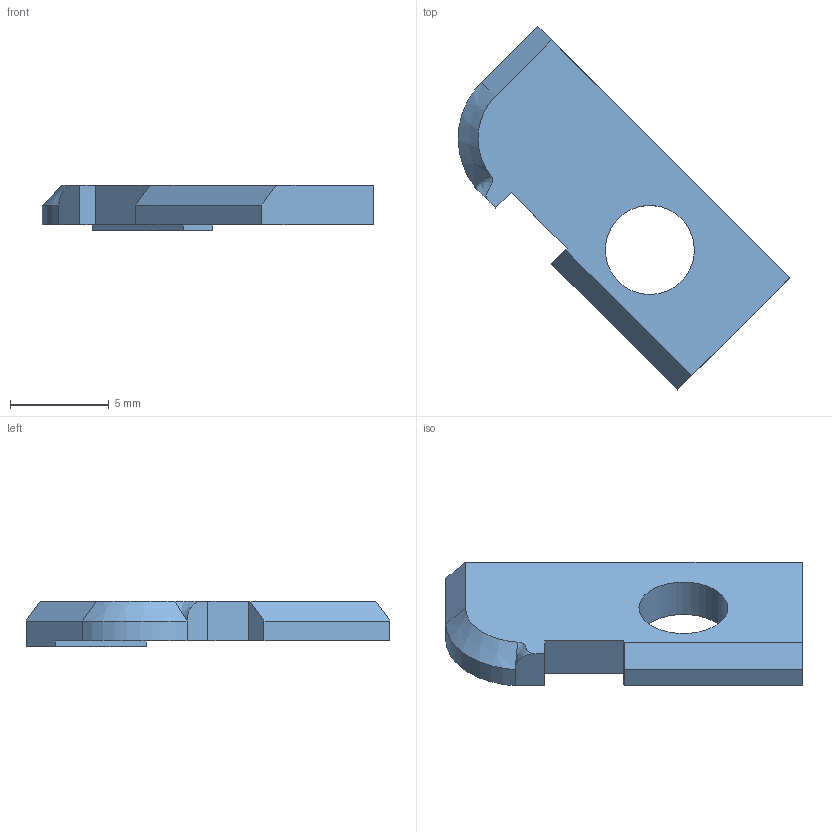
import cadquery as cq
import math


LEFT_END = -12.0
RIGHT_END = 6.0
HALF_WIDTH = 4.0
THICKNESS = 2.0
HOLE_DIAMETER = 4.5
TURN_ANGLE = -45.0

ROUND_RADIUS = 4.0
TOOTH_LEFT = -8.5

NOTCH_LEFT = -7.0
NOTCH_RIGHT = -3.0
NOTCH_DEPTH = 1.1

BEVEL = 1.0

RUNOUT_MID_X = 0.56
RUNOUT_MID_Y = 0.47

PAD_LENGTH = 6.5
PAD_WIDTH = 2.1
PAD_HEIGHT = 0.3

BEVEL_BASE = THICKNESS - BEVEL

ROUND_CENTRE_X = LEFT_END + ROUND_RADIUS
ROUND_DROP = math.sqrt(ROUND_RADIUS**2 - (ROUND_CENTRE_X - TOOTH_LEFT)**2)
ROUND_START_Y = ROUND_DROP - HALF_WIDTH
ROUND_SWEEP = math.degrees(math.atan2(ROUND_DROP, ROUND_CENTRE_X - TOOTH_LEFT))


def make_plate():
    """Flat plate with the rounded corner, the notch and the through hole."""
    half_sweep = math.radians(ROUND_SWEEP / 2)
    round_middle = (
        ROUND_CENTRE_X - ROUND_RADIUS * math.cos(half_sweep),
        ROUND_START_Y - ROUND_RADIUS * math.sin(half_sweep),
    )
    notch_floor = NOTCH_DEPTH - HALF_WIDTH
    outline = (
        cq.Workplane("XY")
        .moveTo(LEFT_END, HALF_WIDTH)
        .lineTo(LEFT_END, ROUND_START_Y)
        .threePointArc(round_middle, (TOOTH_LEFT, -HALF_WIDTH))
        .lineTo(NOTCH_LEFT, -HALF_WIDTH)
        .lineTo(NOTCH_LEFT, notch_floor)
        .lineTo(NOTCH_RIGHT, notch_floor)
        .lineTo(NOTCH_RIGHT, -HALF_WIDTH)
        .lineTo(RIGHT_END, -HALF_WIDTH)
        .lineTo(RIGHT_END, HALF_WIDTH)
        .close()
    )
    hole = cq.Workplane("XY").circle(HOLE_DIAMETER / 2).extrude(THICKNESS)
    return outline.extrude(THICKNESS).cut(hole)


def bevel_triangle(plane, edge):
    """Triangular bevel section on a plane whose second axis is Z."""
    return cq.Workplane(plane).polyline(
        [(edge, BEVEL_BASE), (edge, THICKNESS), (edge + BEVEL, THICKNESS)]
    ).close()


def make_end_bevel():
    """Bevel on the straight left end."""
    plane = cq.Plane(origin=(0, ROUND_START_Y, 0), xDir=(1, 0, 0), normal=(0, -1, 0))
    return bevel_triangle(plane, LEFT_END).extrude(ROUND_START_Y - HALF_WIDTH)


def make_round_bevel():
    """Conical bevel around the rounded corner."""
    plane = cq.Plane(origin=(ROUND_CENTRE_X, ROUND_START_Y, 0), xDir=(1, 0, 0), normal=(0, -1, 0))
    return bevel_triangle(plane, -ROUND_RADIUS).revolve(ROUND_SWEEP, (0, 0), (0, 1))


def make_lip_bevel():
    """Bevel on the long lip to the right of the notch."""
    plane = cq.Plane(origin=(NOTCH_RIGHT, 0, 0), xDir=(0, 1, 0), normal=(1, 0, 0))
    return bevel_triangle(plane, -HALF_WIDTH).extrude(RIGHT_END - NOTCH_RIGHT)


def make_runout():
    """Curved run-out where the conical bevel fades into the tooth tip."""
    sweep = math.radians(ROUND_SWEEP)
    low = cq.Vector(TOOTH_LEFT, -HALF_WIDTH, BEVEL_BASE)
    corner = cq.Vector(TOOTH_LEFT, -HALF_WIDTH, THICKNESS)
    inner = corner + cq.Vector(math.cos(sweep), math.sin(sweep), 0) * BEVEL
    tip = corner + cq.Vector(BEVEL, 0, 0)
    middle = corner + cq.Vector(RUNOUT_MID_X, RUNOUT_MID_Y, 0)
    along_tip = cq.Vector(1, 0, 0)
    diagonal = BEVEL * math.sqrt(0.5)
    arc_middle = cq.Vector(tip.x - diagonal, -HALF_WIDTH, BEVEL_BASE + diagonal)

    bevel_end = cq.Edge.makeLine(low, inner)
    top_curve = cq.Edge.makeSpline([inner, middle, tip], tangents=[along_tip, along_tip])
    tip_arc = cq.Edge.makeThreePointArc(tip, arc_middle, low)
    upright = cq.Edge.makeLine(low, corner)
    top_inward = cq.Edge.makeLine(corner, inner)
    top_along = cq.Edge.makeLine(corner, tip)

    flat_loops = [
        [upright, top_inward, bevel_end],
        [upright, top_along, tip_arc],
        [top_inward, top_curve, top_along],
    ]
    faces = [cq.Face.makeFromWires(cq.Wire.assembleEdges(loop)) for loop in flat_loops]
    faces.append(cq.Face.makeNSidedSurface([bevel_end, top_curve, tip_arc], []))
    return cq.Workplane(cq.Solid.makeSolid(cq.Shell.makeShell(faces)))


def make_pad():
    """Shallow rectangular pad under the far left corner."""
    return (
        cq.Workplane("XY")
        .box(PAD_LENGTH, PAD_WIDTH, PAD_HEIGHT, centered=False)
        .translate((LEFT_END, HALF_WIDTH - PAD_WIDTH, -PAD_HEIGHT))
    )


body = make_plate()
for cutter in (make_end_bevel(), make_round_bevel(), make_lip_bevel(), make_runout()):
    body = body.cut(cutter)
body = body.union(make_pad())

result = body.rotate((0, 0, 0), (0, 0, 1), TURN_ANGLE)